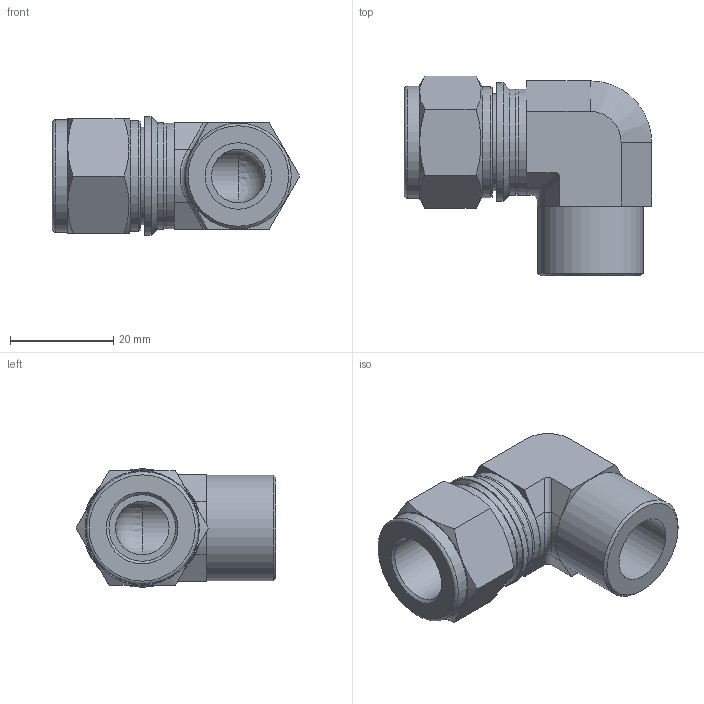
import cadquery as cq
import math


BODY_FLATS = 20.6
ARM_LENGTH = 12.4
CROTCH_FILLET = 1.0
FLAT_NORMAL_ANGLE = math.radians(30)
BEND_ANGLE = 90

STUB_DIAMETER = 20.5
STUB_END_Y = -25.91
STUB_CHAMFER = 0.5

BORE_DIAMETER = 10.41
SOCKET_DIAMETER = 12.9
STUB_SOCKET_DEPTH = -STUB_END_Y - ARM_LENGTH
TUBE_SOCKET_DEPTH = 17.0
SOCKET_CHAMFER = 0.5

COLLAR_DIAMETER = 21.8
NUT_FLATS = 22.2
NUT_REAR_DIAMETER = 21.5
NECK_DIAMETER = 18.9
FLANGE_DIAMETER = 23.0
RIM_THICKNESS = 0.2
WASHER_DIAMETER = 20.6
SHOULDER_DIAMETER = 20.5

OPEN_FACE_X = -36.08
NUT_START = 3.0
NUT_END = 15.1
NUT_REAR_END = 17.05
FLANGE_START = 17.9
FLANGE_END = 19.15
FLANGE_CONE_END = 20.35
WASHER_END = 21.65
WASHER_TAPER_END = 22.1

COLLAR_FILLET = 0.6
NUT_REAR_CHAMFER_LENGTH = 0.25
NUT_REAR_CHAMFER_DEPTH = 0.1
NUT_CHAMFER_ANGLE = math.radians(30)

SEARCH_MARGIN = 0.1


def corner_radius(flats):
    """Centre-to-corner distance of a hexagon with the given width across flats."""
    return flats / math.sqrt(3)


BODY_CORNER = corner_radius(BODY_FLATS)
NUT_CORNER = corner_radius(NUT_FLATS)


def revolve_about_x(profile):
    """Turn (distance from open face, radius) points into a solid round the X axis."""
    points = [(OPEN_FACE_X + distance, radius) for distance, radius in profile]
    return cq.Workplane("XY").polyline(points).close().revolve(360, (0, 0, 0), (1, 0, 0))


def arm_section(plane):
    """Hexagon with a sharp outer corner and a rounded inner corner."""
    half_flats = BODY_FLATS / 2
    half_side = BODY_CORNER / 2
    tangent_u = -half_flats * math.cos(FLAT_NORMAL_ANGLE)
    tangent_v = half_flats * math.sin(FLAT_NORMAL_ANGLE)
    return (
        cq.Workplane(plane)
        .moveTo(BODY_CORNER, 0)
        .lineTo(half_side, half_flats)
        .lineTo(-half_side, half_flats)
        .lineTo(tangent_u, tangent_v)
        .threePointArc((-half_flats, 0), (tangent_u, -tangent_v))
        .lineTo(-half_side, -half_flats)
        .lineTo(half_side, -half_flats)
        .close()
    )


def elbow_body():
    tube_arm = arm_section("YZ").extrude(-ARM_LENGTH)
    weld_arm = arm_section("XZ").extrude(ARM_LENGTH)
    bend = (
        cq.Workplane("XZ")
        .polyline([
            (0, -BODY_FLATS / 2),
            (BODY_CORNER / 2, -BODY_FLATS / 2),
            (BODY_CORNER, 0),
            (BODY_CORNER / 2, BODY_FLATS / 2),
            (0, BODY_FLATS / 2),
        ])
        .close()
        .revolve(BEND_ANGLE, (0, 0, 0), (0, 1, 0))
    )
    body = tube_arm.union(weld_arm).union(bend)
    crotch_half_height = BODY_FLATS / 2 - SEARCH_MARGIN
    crotch = cq.selectors.BoxSelector(
        (-BODY_CORNER, -BODY_CORNER, -crotch_half_height),
        (-BODY_CORNER / 2, -BODY_CORNER / 2, crotch_half_height),
    )
    return body.edges(crotch).fillet(CROTCH_FILLET)


def weld_stub():
    return (
        cq.Workplane("XZ")
        .circle(STUB_DIAMETER / 2)
        .extrude(-STUB_END_Y)
        .faces("<Y")
        .chamfer(STUB_CHAMFER)
    )


def nut_hexagon():
    hexagon = (
        cq.Workplane("YZ", origin=(OPEN_FACE_X + NUT_START, 0, 0))
        .polygon(6, 2 * NUT_CORNER)
        .extrude(NUT_END - NUT_START)
    )
    front_radius = NUT_FLATS / 2
    rear_radius = NUT_REAR_DIAMETER / 2
    front_slope = (NUT_CORNER - front_radius) * math.tan(NUT_CHAMFER_ANGLE)
    rear_slope = (NUT_CORNER - rear_radius) * math.tan(NUT_CHAMFER_ANGLE)
    envelope = revolve_about_x([
        (NUT_START, 0),
        (NUT_START, front_radius),
        (NUT_START + front_slope, NUT_CORNER),
        (NUT_END - rear_slope, NUT_CORNER),
        (NUT_END, rear_radius),
        (NUT_END, 0),
    ])
    return hexagon.intersect(envelope)


def turned_stack():
    """Collar, rear of the nut, neck, washer with a hollow flange, and shoulder."""
    collar = COLLAR_DIAMETER / 2
    rear = NUT_REAR_DIAMETER / 2
    neck = NECK_DIAMETER / 2
    flange = FLANGE_DIAMETER / 2
    washer = WASHER_DIAMETER / 2
    shoulder = SHOULDER_DIAMETER / 2
    recess = flange - RIM_THICKNESS
    cone_slope = (flange - washer) / (FLANGE_CONE_END - FLANGE_END)
    recess_end = FLANGE_END + (recess - neck) / cone_slope
    body_face = -ARM_LENGTH - OPEN_FACE_X
    stack = revolve_about_x([
        (0, 0),
        (0, collar),
        (NUT_START, collar),
        (NUT_START, rear),
        (NUT_REAR_END - NUT_REAR_CHAMFER_LENGTH, rear),
        (NUT_REAR_END, rear - NUT_REAR_CHAMFER_DEPTH),
        (NUT_REAR_END, neck),
        (recess_end, neck),
        (FLANGE_END, recess),
        (FLANGE_START, recess),
        (FLANGE_START, flange),
        (FLANGE_END, flange),
        (FLANGE_CONE_END, washer),
        (WASHER_END, washer),
        (WASHER_TAPER_END, shoulder),
        (body_face, shoulder),
        (body_face, 0),
    ])
    return stack.faces("<X").edges().fillet(COLLAR_FILLET)


def flow_passage():
    bore = BORE_DIAMETER / 2
    socket = SOCKET_DIAMETER / 2
    tube_bore = revolve_about_x([
        (0, 0),
        (0, socket + SOCKET_CHAMFER),
        (SOCKET_CHAMFER, socket),
        (TUBE_SOCKET_DEPTH, socket),
        (TUBE_SOCKET_DEPTH, bore),
        (-OPEN_FACE_X, bore),
        (-OPEN_FACE_X, 0),
    ])
    stub_bore = cq.Workplane("XZ").circle(bore).extrude(-STUB_END_Y)
    stub_socket = (
        cq.Workplane("XZ", origin=(0, STUB_END_Y, 0))
        .circle(socket)
        .extrude(-STUB_SOCKET_DEPTH)
    )
    turn = cq.Workplane("XY").sphere(bore)
    return tube_bore.union(stub_bore).union(stub_socket).union(turn)


solid_fitting = elbow_body().union(weld_stub()).union(turned_stack()).union(nut_hexagon())
result = solid_fitting.cut(flow_passage())